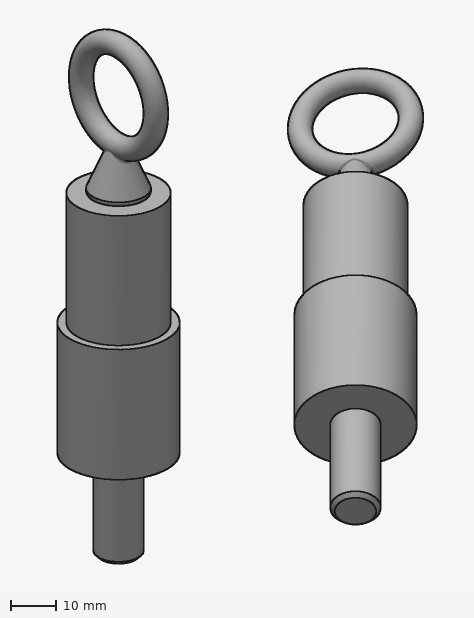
import cadquery as cq

stem_diameter = 11.1
stem_length = 25.0
stem_chamfer = 1.0
collar_diameter = 27.0
collar_length = 32.0
barrel_diameter = 23.0
barrel_length = 31.8
body_height = stem_length + collar_length + barrel_length

overall_height = 127.8
ring_wire_diameter = 5.5
ring_outer_diameter = 30.2
ring_angle = 17.5
foot_diameter = 14.3
foot_rim_height = 1.2
foot_fillet = 0.5
cone_top_diameter = 5.1
neck_fillet = 0.4

ring_wire_radius = ring_wire_diameter / 2
ring_radius = ring_outer_diameter / 2 - ring_wire_radius
ring_center_height = overall_height - ring_outer_diameter / 2
cone_top_height = ring_center_height - ring_radius


def make_stepped_body():
    """Stem, collar and barrel on one axis, with a chamfered stem end."""
    stem = cq.Workplane("XY").circle(stem_diameter / 2).extrude(stem_length)
    stem = stem.faces("<Z").chamfer(stem_chamfer)
    return (
        stem.faces(">Z").workplane()
        .circle(collar_diameter / 2).extrude(collar_length)
        .faces(">Z").workplane()
        .circle(barrel_diameter / 2).extrude(barrel_length)
    )


def make_foot():
    """Cone with a short cylindrical rim, rounded around its underside."""
    rim_top = body_height + foot_rim_height
    return (
        cq.Workplane("XZ")
        .moveTo(0, body_height)
        .lineTo(foot_diameter / 2, body_height)
        .lineTo(foot_diameter / 2, rim_top)
        .lineTo(cone_top_diameter / 2, cone_top_height)
        .lineTo(0, cone_top_height)
        .close()
        .revolve(360, (0, 0), (0, 1))
        .faces("<Z").edges().fillet(foot_fillet)
    )


def make_ring():
    """Upright round-wire ring, turned about Z."""
    ring_axis = cq.Vector(0, 1, 0)
    ring_center = cq.Vector(0, 0, ring_center_height)
    ring = cq.Solid.makeTorus(ring_radius, ring_wire_radius, ring_center, ring_axis)
    return cq.Workplane(ring).rotate((0, 0, 0), (0, 0, 1), ring_angle)


def make_lifting_eye():
    """Ring and its conical foot in one piece, filleted where they meet."""
    eye = make_foot().union(make_ring())
    neck_low = cone_top_height - ring_wire_radius
    neck_high = cone_top_height + ring_wire_radius
    neck_zone = cq.selectors.BoxSelector(
        (-foot_diameter, -foot_diameter, neck_low),
        (foot_diameter, foot_diameter, neck_high),
    )
    return eye.edges(neck_zone).fillet(neck_fillet)


stepped_body = make_stepped_body()
lifting_eye = make_lifting_eye()

result = cq.Compound.makeCompound([stepped_body.val(), *lifting_eye.vals()])